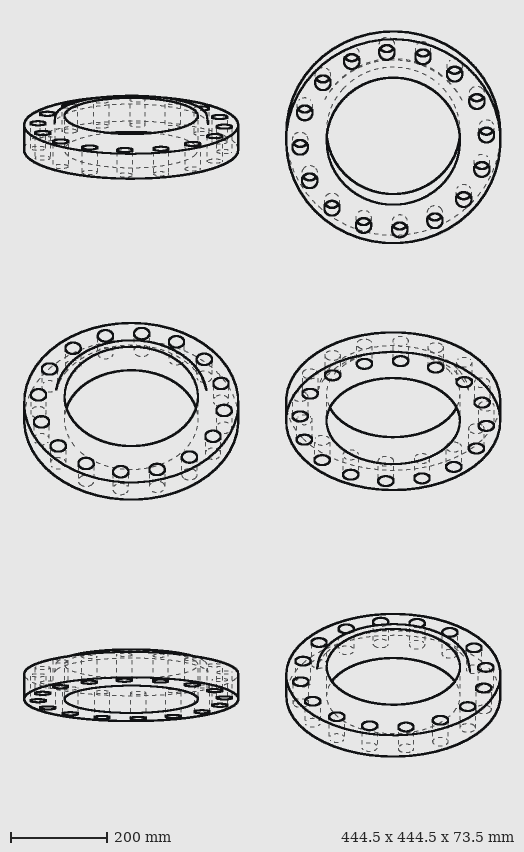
import cadquery as cq

flange_diameter = 444.5
flange_thickness = 53.8
bore_diameter = 276.5

total_height = 73.5
hub_base_diameter = 319.5
hub_top_diameter = 313.7
hub_top_fillet = 1.8
hub_root_fillet = 1.8

bolt_count = 16
bolt_circle_diameter = 387.0
bolt_hole_diameter = 32.0


def turned_body():
    """Revolve the flange, hub and bore about Z as one profile."""
    bore_radius = bore_diameter / 2
    flange_radius = flange_diameter / 2
    return (
        cq.Workplane("XZ")
        .moveTo(bore_radius, 0)
        .lineTo(flange_radius, 0)
        .lineTo(flange_radius, flange_thickness)
        .lineTo(hub_base_diameter / 2, flange_thickness)
        .lineTo(hub_top_diameter / 2, total_height)
        .lineTo(bore_radius, total_height)
        .close()
        .revolve(360, (0, 0, 0), (0, 1, 0))
    )


def round_hub(body):
    """Round the outer top edge of the hub and blend its root into the flange."""
    largest_circle = cq.selectors.RadiusNthSelector(-1)
    smallest_circle = cq.selectors.RadiusNthSelector(0)
    body = body.faces(">Z").edges(largest_circle).fillet(hub_top_fillet)
    flange_face = body.faces("|Z").faces(">Z[-2]")
    return flange_face.edges(smallest_circle).fillet(hub_root_fillet)


def drill_bolt_holes(body):
    """Cut the ring of through holes, the first one on the +X axis."""
    holes = (
        cq.Workplane("XY")
        .polarArray(bolt_circle_diameter / 2, 0, 360, bolt_count)
        .circle(bolt_hole_diameter / 2)
        .extrude(flange_thickness)
    )
    return body.cut(holes)


result = drill_bolt_holes(round_hub(turned_body()))